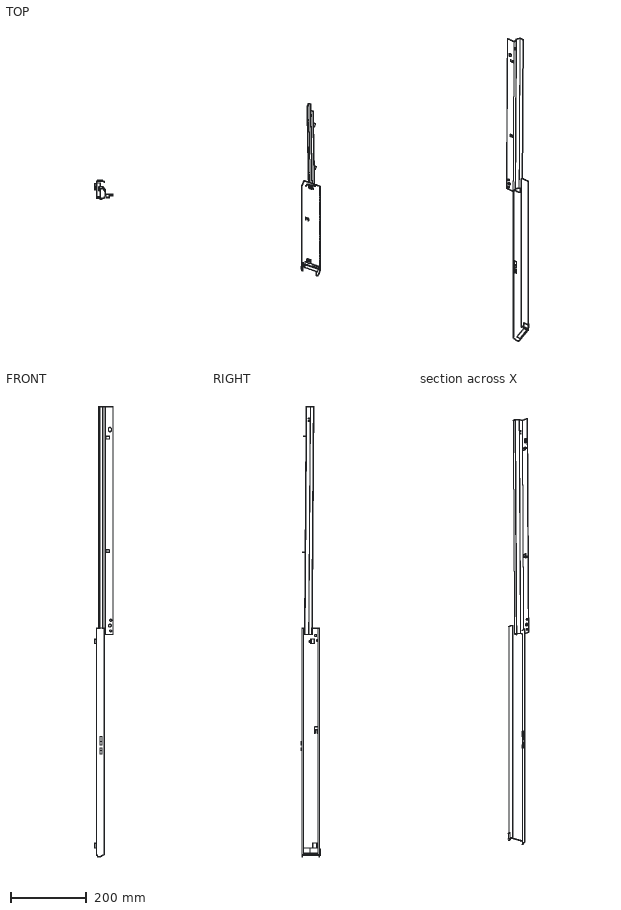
import cadquery as cq
import math

TOTAL_X = 49.43
TOTAL_Y = 50.2
TOTAL_Z = 1185.01
SHEET = 1.5

OUTER_LENGTH = 602.0
WEB_X = 5.0
MOUTH_X = 26.5
FRONT_Y = 1.5
BACK_Y = 48.7
BEND_RADIUS = 3.0
LIP_DEPTH = 3.5

INNER_LENGTH = 600.0
LEAN_ANGLE = 0.42
INNER_TOP_Y = 13.0
HOOK_X = 11.5
HOOK_TIP_X = 15.0
SHOULDER_X = 22.0
WALL_X = 28.0
HOOK_BOTTOM = 13.0
WALL_TOP = 11.0
HOOK_TOP = 20.5
FOOT_BEND_RADIUS = 1.5
HOOK_BEND_RADIUS = 2.0


def block(x0, x1, y0, y1, z0, z1):
    """Box between opposite corners."""
    return cq.Workplane("XY").box(x1 - x0, y1 - y0, z1 - z0, centered=False).translate((x0, y0, z0))


def channel():
    """C section with rounded bends and short lips at its mouth."""
    depth = MOUTH_X - WEB_X
    width = BACK_Y - FRONT_Y
    outside = block(WEB_X, MOUTH_X, FRONT_Y, BACK_Y, 0, OUTER_LENGTH).edges("|Z").fillet(BEND_RADIUS)
    inside = (
        block(0, depth - 2 * SHEET, 0, width - 2 * SHEET, 0, OUTER_LENGTH)
        .edges("|Z")
        .fillet(BEND_RADIUS - SHEET)
        .translate((WEB_X + SHEET, FRONT_Y + SHEET, 0))
    )
    mouth_edge = SHEET + LIP_DEPTH
    mouth = block(
        MOUTH_X - 2 * SHEET, MOUTH_X, FRONT_Y + mouth_edge, BACK_Y - mouth_edge, 0, OUTER_LENGTH
    )
    return outside.cut(inside).cut(mouth)


WEB_SLOTS = [
    (15.5, 23.0, 590.0, 594.0),
    (36.0, 40.0, 580.5, 585.0),
    (41.5, 43.5, 568.0, 571.0),
]
BRIDGES = [
    (25.0, 35.5, 561.0, 573.0),
    (30.0, 41.5, 23.0, 36.0),
]
BRIDGE_HOLE = (21.5, 25.0, 564.5, 569.0)
LATCH_WINDOW = (35.0, 44.0, 325.0, 342.0)
LATCH_TONGUE_TOP = 335.0
LATCH_TONGUE_GAP = 1.5

END_TIP = 3.5
END_TIP_X = 16.0
END_SLOPE = 6.0
STOP_WINDOW = (6.5, 22.5, 9.5, 23.0)
STOP_REACH_X = 16.0
STOP_BACK_Y = 43.0
END_PAD_DEPTH = 0.5
END_PAD_TOP = 23.0


def through_web(y0, y1, z0, z1):
    """Cutter for a rectangular opening in the web."""
    return block(WEB_X, WEB_X + SHEET, y0, y1, z0, z1)


def bridge(y0, y1, z0, z1):
    """Pressed-out strap, hollow behind and open at its top and bottom ends."""
    strap = block(0, WEB_X, y0, y1, z0, z1)
    hollow = block(SHEET, WEB_X + SHEET, y0 + SHEET, y1 - SHEET, z0, z1)
    return strap, hollow


def latch_tongue():
    """Tongue filling the lower part of the latch window, with slits at its sides."""
    y0, y1, z0, _ = LATCH_WINDOW
    return block(
        WEB_X, WEB_X + SHEET, y0 + LATCH_TONGUE_GAP, y1 - LATCH_TONGUE_GAP, z0, LATCH_TONGUE_TOP
    )


LUG_X = (14.5, 20.5)
LUGS = [(294.0, 303.0), (280.0, 287.0)]
LUG_OPENINGS = [(303.0, 317.0), (271.0, 280.0)]
CATCH_X = (8.0, 21.0)
CATCH_Z = (4.0, 20.0)


def end_cutters():
    """Material removed at the lower end: the short web and the sloped flange tips."""
    short_web = block(WEB_X, WEB_X + BEND_RADIUS, FRONT_Y, BACK_Y, 0, END_TIP)
    slope = (
        cq.Workplane("XZ")
        .polyline([(END_TIP_X, 0), (MOUTH_X, 0), (MOUTH_X, END_SLOPE)])
        .close()
        .extrude(-TOTAL_Y)
    )
    pad = block(
        WEB_X, WEB_X + END_PAD_DEPTH, FRONT_Y + BEND_RADIUS, BACK_Y - BEND_RADIUS, END_TIP, END_PAD_TOP
    )
    return [short_web, slope, pad]


def outer_rail():
    rail = channel()
    for cutter in end_cutters():
        rail = rail.cut(cutter)
    for slot in WEB_SLOTS + [BRIDGE_HOLE, LATCH_WINDOW, STOP_WINDOW]:
        rail = rail.cut(through_web(*slot))
    rail = rail.union(latch_tongue())
    for size in BRIDGES:
        strap, hollow = bridge(*size)
        rail = rail.union(strap).cut(hollow)
    shelf_front, _, shelf_top, _ = STOP_WINDOW
    shelf_root = WEB_X + END_PAD_DEPTH
    rail = rail.union(
        block(shelf_root, STOP_REACH_X, shelf_front, STOP_BACK_Y, shelf_top - SHEET, shelf_top)
    )
    for z0, z1 in LUG_OPENINGS:
        rail = rail.cut(block(*LUG_X, FRONT_Y, FRONT_Y + SHEET, z0, z1))
    for z0, z1 in LUGS:
        rail = rail.union(block(*LUG_X, 0, FRONT_Y + SHEET, z0, z1))
    return rail.union(block(*CATCH_X, BACK_Y - SHEET, TOTAL_Y, *CATCH_Z))


def mitred_offset(points, distance):
    """Points of an open line shifted to its left by the distance, mitred at the bends."""
    directions = []
    for (xa, ya), (xb, yb) in zip(points, points[1:]):
        length = math.hypot(xb - xa, yb - ya)
        directions.append(((xb - xa) / length, (yb - ya) / length))
    before = [directions[0]] + directions
    after = directions + [directions[-1]]
    shifted = []
    for (x, y), (ux, uy), (vx, vy) in zip(points, before, after):
        scale = distance / (1 + ux * vx + uy * vy)
        shifted.append((x - (uy + vy) * scale, y + (ux + vx) * scale))
    return shifted


def folded_strip():
    """Flange, wall, sloping shoulder and hook, folded from one strip of constant thickness."""
    face = [
        (TOTAL_X, 0),
        (WALL_X, 0),
        (WALL_X, WALL_TOP),
        (SHOULDER_X, HOOK_TOP - SHEET),
        (HOOK_X + SHEET, HOOK_TOP - SHEET),
        (HOOK_X + SHEET, HOOK_BOTTOM + SHEET),
        (HOOK_TIP_X, HOOK_BOTTOM + SHEET),
    ]
    other_face = mitred_offset(face, -SHEET)
    strip = cq.Workplane("XY").polyline(face + other_face[::-1]).close().extrude(-INNER_LENGTH)
    bends = [
        (WALL_X, 0, FOOT_BEND_RADIUS),
        (HOOK_X, HOOK_BOTTOM, HOOK_BEND_RADIUS),
        (HOOK_X, HOOK_TOP, HOOK_BEND_RADIUS),
    ]
    for x, y, radius in bends:
        corner = cq.selectors.NearestToPointSelector((x, y, -INNER_LENGTH / 2))
        strip = strip.edges(corner).fillet(radius)
    return strip


HOLE_X = 41.0
TOP_SLOT_DEPTH = 60.4
TOP_SLOT_LENGTH = 11.0
HOLE_DIAMETER = 7.0
BOTTOM_HOLE_DEPTH = 576.4
RIVET_HOLE_X = 43.0
RIVET_HOLE_DIAMETER = 4.5
RIVET_HOLE_SPACING = 14.0

LANCE_X = (30.5, 39.5)
LANCE_HEIGHT = 6.0
LANCE_REACH = 6.5
LANCES = [(82.0, True), (380.0, False)]

WALL_HOLE_Y = 7.0
WALL_HOLE_DIAMETER = 2.0
WALL_HOLE_DEPTHS = [31.0, 38.0]


def flange_drill(x, depth):
    """Workplane on the flange's front face, centred on a hole; negative extrusions go into the sheet."""
    return cq.Workplane("XZ", origin=(x, 0, -depth))


def inner_rail():
    rail = folded_strip()
    rail = rail.cut(
        flange_drill(HOLE_X, TOP_SLOT_DEPTH).slot2D(TOP_SLOT_LENGTH, HOLE_DIAMETER, 90).extrude(-SHEET)
    )
    rail = rail.cut(flange_drill(HOLE_X, BOTTOM_HOLE_DEPTH).circle(HOLE_DIAMETER / 2).extrude(-SHEET))
    for side in (-1, 1):
        depth = BOTTOM_HOLE_DEPTH + side * RIVET_HOLE_SPACING
        rivet_hole = flange_drill(RIVET_HOLE_X, depth).circle(RIVET_HOLE_DIAMETER / 2).extrude(-SHEET)
        rail = rail.cut(rivet_hole)
    for depth, tab_on_upper_edge in LANCES:
        top = LANCE_HEIGHT / 2 - depth
        bottom = top - LANCE_HEIGHT
        rail = rail.cut(block(*LANCE_X, 0, SHEET, bottom, top))
        tab_bottom = top if tab_on_upper_edge else bottom - SHEET
        rail = rail.union(block(*LANCE_X, -LANCE_REACH, SHEET, tab_bottom, tab_bottom + SHEET))
    for depth in WALL_HOLE_DEPTHS:
        wall_drill = cq.Workplane("YZ", origin=(WALL_X, WALL_HOLE_Y, -depth))
        rail = rail.cut(wall_drill.circle(WALL_HOLE_DIAMETER / 2).extrude(SHEET))
    return rail.rotate((0, 0, 0), (1, 0, 0), -LEAN_ANGLE).translate((0, INNER_TOP_Y, TOTAL_Z))


outer = outer_rail()
inner = inner_rail()
result = cq.Compound.makeCompound([outer.val(), inner.val()])